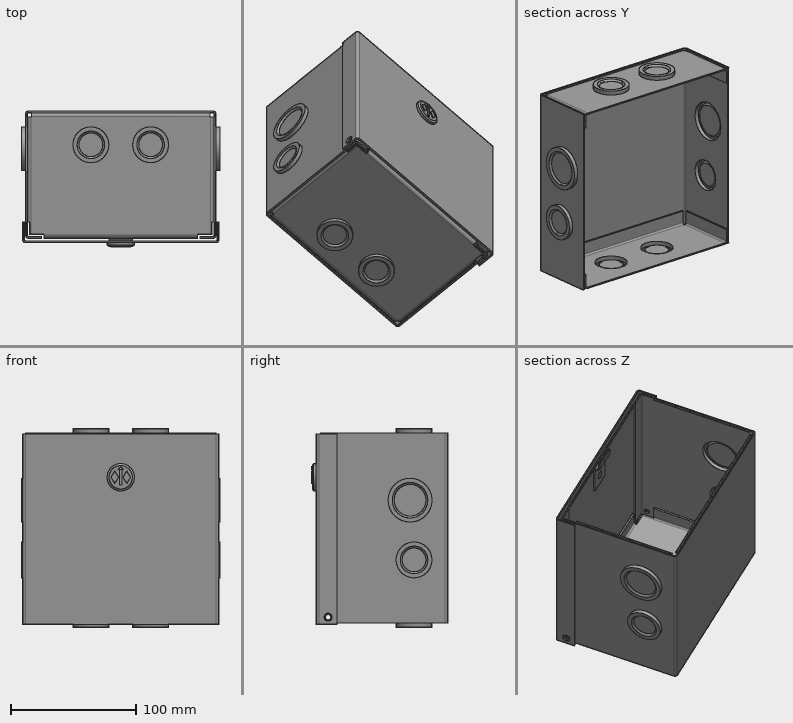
import cadquery as cq


SHEET = 1.52
BEND_OUTER = 2.3
OVERALL = 158.5
EMBOSS_HEIGHT = 3.35
BOX_WIDTH = OVERALL - 2 * EMBOSS_HEIGHT
BOX_HEIGHT = BOX_WIDTH
BOX_DEPTH = 101.6
LIP_WIDTH = 12.7

PLATE_BEND_OUTER = 2.85
PLATE_FLANGE = 12.7
CORNER_RELIEF = 3.2
FRONT_RELIEF = 14.6
SIDE_RELIEF = 1.75
SIDE_RELIEF_START = 88.7

SMALL_OUTER = 28.57
LARGE_OUTER = 34.92
RIM_WIDTH = 3.3
KNOCKOUT_EDGE = 12.7
SMALL_SPACING = 47.62
LARGE_SIDE_Z = 22.22
SMALL_SIDE_Z = -25.4

COVER_WIDTH = 156.6
COVER_HEIGHT = 152.0
COVER_TOP_DROP = 0.75
COVER_FRONT = 105.1
COVER_FLANGE_START = 88.5
SCREW_Y = 95.5
SCREW_Z = -71.1
COVER_SCREW_DIAMETER = 6.35
BOX_SCREW_DIAMETER = 4.29

KNOB_Z = 40.5
KNOB_DIAMETER = 21.82
KNOB_FRONT = 108.64
KNOB_CHAMFER_RADIAL = 1.6
KNOB_CHAMFER_AXIAL = 1.0
MARK_HEIGHT = 0.64
KNOB_FACE = KNOB_FRONT - MARK_HEIGHT
DIAMOND_X = 4.8
DIAMOND_HALF_WIDTH = 3.0
DIAMOND_HALF_HEIGHT = 5.0
POINTER_HALF_WIDTH = 2.0
POINTER_TIP = 8.6
SLOT_LENGTH = 12.7
SLOT_WIDTH = 2.1
SLOT_DEPTH = 1.5
SHAFT_DIAMETER = 6.35
SHAFT_HOLE_DIAMETER = 6.71
LATCH_WIDTH = 19.05
LATCH_BOTTOM = KNOB_Z - LATCH_WIDTH / 2
LATCH_JOG_START = 54.0
LATCH_TOP = 70.0
LATCH_JOG = 4.5

SIDES = (-1, 1)


def knockout(face, diameter):
    """Cap embossed outwards from a sheet at the given plane, and the hole it needs in that sheet.

    The cap is a raised ring whose middle is pressed back in along a cone.
    """
    outer = diameter / 2
    rim_inner = outer - RIM_WIDTH
    floor = EMBOSS_HEIGHT - SHEET
    cap = (
        cq.Workplane("XZ")
        .moveTo(0, floor)
        .lineTo(rim_inner - SHEET, floor)
        .lineTo(rim_inner, EMBOSS_HEIGHT)
        .lineTo(outer, EMBOSS_HEIGHT)
        .lineTo(outer, -SHEET)
        .lineTo(outer - SHEET, -SHEET)
        .lineTo(outer - SHEET, floor)
        .lineTo(rim_inner, floor)
        .lineTo(rim_inner - SHEET, floor - SHEET)
        .lineTo(0, floor - SHEET)
        .close()
        .revolve(360, (0, 0, 0), (0, 1, 0))
        .val()
    )
    opening = cq.Workplane("XY").circle(outer).extrude(-SHEET).val()
    return cap.moved(face.location), opening.moved(face.location)


def add_knockout(body, face, diameter):
    """Replace a disc of the sheet by an embossed knockout."""
    cap, opening = knockout(face, diameter)
    return body.cut(cq.Workplane(opening)).union(cq.Workplane(cap))


def corner_box(x0, x1, y0, y1, z0, z1):
    """Box between two opposite corners."""
    return cq.Workplane("XY").box(x1 - x0, y1 - y0, z1 - z0, centered=False).translate((x0, y0, z0))


def screw_cutter(diameter):
    """Cylinder across the whole width that cuts the screw hole of both sides."""
    return (
        cq.Workplane("YZ")
        .center(-SCREW_Y, SCREW_Z)
        .circle(diameter / 2)
        .extrude(OVERALL / 2, both=True)
    )


def bent_block(width, y_front, y_back, height, radius, bent_edges):
    """Block centred on x = 0 and z = 0 with the selected edges rounded as sheet metal bends."""
    return (
        cq.Workplane("XY")
        .box(width, y_back - y_front, height)
        .translate((0, (y_front + y_back) / 2, 0))
        .edges(bent_edges)
        .fillet(radius)
    )


def make_wrapper():
    """Back and sides in one bent sheet, with lips turned in at the front and side knockouts."""
    outside = bent_block(BOX_WIDTH, -BOX_DEPTH, 0, BOX_HEIGHT, BEND_OUTER, "|Z")
    inside = bent_block(
        BOX_WIDTH - 2 * SHEET, SHEET - BOX_DEPTH, -SHEET, BOX_HEIGHT, BEND_OUTER - SHEET, "|Z"
    )
    mouth = cq.Workplane("XY").box(BOX_WIDTH - 2 * LIP_WIDTH, BOX_DEPTH, BOX_HEIGHT)
    mouth = mouth.translate((0, -BOX_DEPTH, 0))
    body = outside.cut(inside).cut(mouth).cut(screw_cutter(BOX_SCREW_DIAMETER))
    for side in SIDES:
        for diameter, z in ((LARGE_OUTER, LARGE_SIDE_Z), (SMALL_OUTER, SMALL_SIDE_Z)):
            y = -KNOCKOUT_EDGE - diameter / 2
            face = cq.Plane((side * BOX_WIDTH / 2, y, z), xDir=(0, 1, 0), normal=(side, 0, 0))
            body = add_knockout(body, face, diameter)
    return body


def make_end_plate(end):
    """End plate folded inwards along all four edges; end is 1 for the top and -1 for the bottom."""
    half_width = BOX_WIDTH / 2 - SHEET
    back = -SHEET
    front = -BOX_DEPTH
    top = BOX_HEIGHT / 2
    bottom = top - PLATE_FLANGE
    body = corner_box(-half_width, half_width, front, back, bottom, top)
    body = body.edges(">Z").fillet(PLATE_BEND_OUTER)
    hollow = corner_box(
        SHEET - half_width, half_width - SHEET, front + SHEET, back - SHEET, bottom - SHEET, top - SHEET
    )
    body = body.cut(hollow.edges(">Z").fillet(PLATE_BEND_OUTER - SHEET))

    lip_clear = front + CORNER_RELIEF
    for side in SIDES:
        edge = side * half_width
        back_corner = corner_box(-CORNER_RELIEF, CORNER_RELIEF, back - CORNER_RELIEF, back, bottom, top)
        body = body.cut(back_corner.translate((edge, 0, 0)))
        front_reach = FRONT_RELIEF - SHEET
        front_corner = corner_box(-front_reach, front_reach, front, lip_clear, bottom, top)
        body = body.cut(front_corner.translate((edge, 0, 0)))
        side_relief = corner_box(-SIDE_RELIEF, SIDE_RELIEF, front, -SIDE_RELIEF_START, bottom, top)
        body = body.cut(side_relief.translate((edge, 0, 0)))
        face = cq.Plane((side * SMALL_SPACING / 2, -KNOCKOUT_EDGE - SMALL_OUTER / 2, top))
        body = add_knockout(body, face, SMALL_OUTER)
    return body if end > 0 else body.mirror("XY")


def make_cover():
    """Front sheet with a flange bent back along each side."""
    outside = bent_block(
        COVER_WIDTH, -COVER_FRONT, -COVER_FLANGE_START, COVER_HEIGHT, BEND_OUTER, "|Z and <Y"
    )
    inside = bent_block(
        COVER_WIDTH - 2 * SHEET, SHEET - COVER_FRONT, -COVER_FLANGE_START, COVER_HEIGHT,
        BEND_OUTER - SHEET, "|Z and <Y",
    )
    top = BOX_HEIGHT / 2 - COVER_TOP_DROP
    shell = outside.cut(inside).translate((0, 0, top - COVER_HEIGHT / 2))
    return shell.cut(screw_cutter(COVER_SCREW_DIAMETER)).cut(shaft_cylinder(SHAFT_HOLE_DIAMETER))


def shaft_cylinder(diameter):
    """Cylinder on the knob axis, from the back of the latch to the front of the cover."""
    return (
        cq.Workplane("XZ", origin=(0, 2 * SHEET - COVER_FRONT, KNOB_Z))
        .circle(diameter / 2)
        .extrude(2 * SHEET)
    )


def make_knob_marks():
    """Raised diamond on each side of the slot and a raised pointer at its upper end."""
    face = cq.Workplane("XZ", origin=(0, -KNOB_FACE, KNOB_Z))
    pointer_base = SLOT_LENGTH / 2
    marks = (
        face.moveTo(-POINTER_HALF_WIDTH, pointer_base)
        .lineTo(POINTER_HALF_WIDTH, pointer_base)
        .lineTo(0, POINTER_TIP)
        .close()
        .extrude(MARK_HEIGHT)
    )
    for side in SIDES:
        center = side * DIAMOND_X
        diamond = (
            face.moveTo(center - DIAMOND_HALF_WIDTH, 0)
            .lineTo(center, DIAMOND_HALF_HEIGHT)
            .lineTo(center + DIAMOND_HALF_WIDTH, 0)
            .lineTo(center, -DIAMOND_HALF_HEIGHT)
            .close()
            .extrude(MARK_HEIGHT)
        )
        marks = marks.add(diamond)
    return marks.combine()


def make_knob():
    """Slotted round head on a shaft that passes through the cover and the latch."""
    radius = KNOB_DIAMETER / 2
    head = (
        cq.Workplane("XY", origin=(0, 0, KNOB_Z))
        .moveTo(0, -COVER_FRONT)
        .lineTo(radius, -COVER_FRONT)
        .lineTo(radius, KNOB_CHAMFER_AXIAL - KNOB_FACE)
        .lineTo(radius - KNOB_CHAMFER_RADIAL, -KNOB_FACE)
        .lineTo(0, -KNOB_FACE)
        .close()
        .revolve(360, (0, 0, 0), (0, 1, 0))
    )
    slot = (
        cq.Workplane("XZ", origin=(0, SLOT_DEPTH - KNOB_FACE, KNOB_Z))
        .rect(SLOT_WIDTH, SLOT_LENGTH)
        .extrude(SLOT_DEPTH)
    )
    return head.cut(slot).union(make_knob_marks()).union(shaft_cylinder(SHAFT_DIAMETER))


def make_latch():
    """Strip on the back of the cover, jogged backwards to hook behind the top plate's flange."""
    front = SHEET - COVER_FRONT
    hook_front = front + LATCH_JOG
    jog_end = LATCH_JOG_START + LATCH_JOG
    strip = (
        cq.Workplane("YZ")
        .moveTo(front, LATCH_BOTTOM)
        .lineTo(front, LATCH_JOG_START)
        .lineTo(hook_front, jog_end)
        .lineTo(hook_front, LATCH_TOP)
        .lineTo(hook_front + SHEET, LATCH_TOP)
        .lineTo(hook_front + SHEET, jog_end)
        .lineTo(front + SHEET, LATCH_JOG_START)
        .lineTo(front + SHEET, LATCH_BOTTOM)
        .close()
        .extrude(LATCH_WIDTH / 2, both=True)
    )
    return strip.cut(shaft_cylinder(SHAFT_DIAMETER))


wrapper = make_wrapper()
end_plates = [make_end_plate(end) for end in (1, -1)]
cover = make_cover()
knob = make_knob()
latch = make_latch()

result = cq.Compound.makeCompound(
    [wrapper.val(), *[plate.val() for plate in end_plates], cover.val(), knob.val(), latch.val()]
)